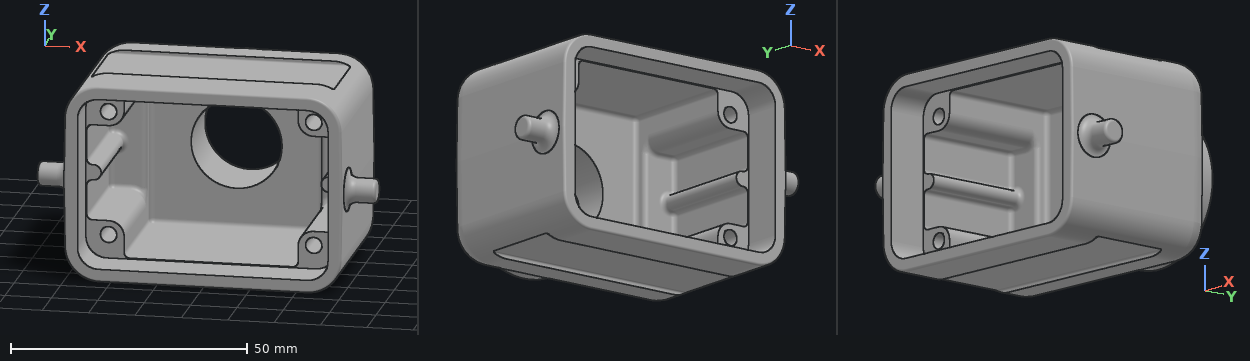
import cadquery as cq
import math


body_half_width = 30.1
body_half_height = 21.5
body_depth = 40.0
body_corner_radius = 7.45
side_draft_angle = 1.0
back_edge_radius = 5.1
rim_edge_radius = 0.6

neck_radius = 17.1
neck_end = 52.5
neck_end_fillet = 1.1
neck_root_fillet = 0.7
cable_hole_radius = 9.8

pin_radius = 2.6
pin_tip = 36.5
pin_y = 6.3
pin_tip_fillet = 0.7
pin_root_fillet = 2.05

label_half_width = 27.75
label_front = 10.7
label_back = 29.3
label_depth = 1.0
label_floor_fillet = 0.45

side_wall = 3.1
top_wall = 2.85
back_wall = 2.9
mouth_depth = 9.2
mouth_corner_radius = 4.5
main_pocket_half_width = 18.75
pocket_step = 0.2
pocket_fillet = 1.2
side_pocket_half_height = 10.45
side_pocket_rise = 2.9
post_corner_radius = 3.35

rib_radius = 1.7
rib_tip = 23.7

screw_x = 22.1
screw_z = 13.5
screw_mouth_radius = 1.75
screw_end_radius = 1.4
screw_depth = 10.95

mouth_half_width = body_half_width - side_wall
mouth_half_height = body_half_height - top_wall
main_floor = body_depth - back_wall
side_floor = main_floor - side_pocket_rise


def section(y):
    """Sketch plane along X and Z at depth y; negative extrusion goes towards +Y."""
    return cq.Workplane("XZ", origin=(0, y, 0))


def block(half_width, half_height, start, end):
    return section(start).rect(2 * half_width, 2 * half_height).extrude(start - end)


def make_body():
    draft = body_half_height * math.tan(math.radians(side_draft_angle))
    edge_half_width = body_half_width - draft
    outline = [
        (body_half_width, 0),
        (edge_half_width, body_half_height),
        (-edge_half_width, body_half_height),
        (-body_half_width, 0),
        (-edge_half_width, -body_half_height),
        (edge_half_width, -body_half_height),
    ]
    body = section(0).polyline(outline).close().extrude(-body_depth)
    long_corners = body.edges("|Y").edges(">Z or <Z")
    body = long_corners.fillet(body_corner_radius)
    body = body.faces(">Y").edges().fillet(back_edge_radius)
    return body.faces("<Y").edges().fillet(rim_edge_radius)


def add_neck(body):
    start = body_depth - back_edge_radius
    hood = body.union(section(start).circle(neck_radius).extrude(start - neck_end))
    neck_wall = hood.faces(
        cq.selectors.BoxSelector(
            (-neck_radius, body_depth + neck_root_fillet, -neck_radius),
            (neck_radius, neck_end - neck_end_fillet, neck_radius),
        )
    )
    hood = neck_wall.edges("not (|Y or >Y)").fillet(neck_root_fillet)
    return hood.faces(">Y").edges().fillet(neck_end_fillet)


def make_pin(side):
    root = body_half_width
    inner_end = root - side_wall / 2
    flare_radius = pin_radius + pin_root_fillet
    flare_end = root + pin_root_fillet
    bow = pin_root_fillet * (1 - math.sqrt(0.5))
    profile = (
        cq.Workplane("XY")
        .moveTo(inner_end, 0)
        .lineTo(inner_end, flare_radius)
        .lineTo(root, flare_radius)
        .threePointArc((root + bow, pin_radius + bow), (flare_end, pin_radius))
        .lineTo(pin_tip, pin_radius)
        .lineTo(pin_tip, 0)
        .close()
    )
    pin = profile.revolve(360, (0, 0, 0), (1, 0, 0))
    pin = pin.faces(">X").edges().fillet(pin_tip_fillet)
    if side < 0:
        pin = pin.mirror("YZ")
    return pin.translate((0, pin_y, 0))


def make_label_recess(side):
    length = label_back - label_front
    recess = cq.Workplane("XY").box(2 * label_half_width, length, 2 * label_depth)
    recess = recess.faces("<Z").edges().fillet(label_floor_fillet)
    if side < 0:
        recess = recess.mirror("XY")
    return recess.translate((0, (label_front + label_back) / 2, side * body_half_height))


def make_cavity():
    mouth = block(mouth_half_width, mouth_half_height, 0, mouth_depth)
    mouth = mouth.edges("|Y").fillet(mouth_corner_radius)
    pockets = make_side_pockets().union(make_main_pocket())

    step_reach = main_pocket_half_width + pocket_step
    step_edges = cq.selectors.BoxSelector(
        (-step_reach, side_floor - pocket_step, -pocket_step),
        (step_reach, side_floor + pocket_step, pocket_step),
    )
    pockets = pockets.edges("|Z").edges(step_edges).fillet(pocket_fillet)
    return mouth.union(pockets)


def make_main_pocket():
    main_half_height = mouth_half_height - pocket_step
    pocket = block(main_pocket_half_width, main_half_height, 0, main_floor)
    return pocket.edges("|Y or >Y").fillet(pocket_fillet)


def make_side_pockets():
    side_half_width = mouth_half_width - pocket_step
    pockets = block(side_half_width, side_pocket_half_height, mouth_depth, side_floor)
    waist_half_height = side_pocket_half_height + post_corner_radius + pocket_fillet
    pockets = pockets.union(block(main_pocket_half_width, waist_half_height, mouth_depth, side_floor))
    post_reach_x = main_pocket_half_width + pocket_step
    post_reach_z = side_pocket_half_height + pocket_step
    post_corners = cq.selectors.BoxSelector(
        (-post_reach_x, 0, -post_reach_z),
        (post_reach_x, body_depth, post_reach_z),
    )
    pockets = pockets.edges("|Y").edges(post_corners).fillet(post_corner_radius)
    for direction in (-1, 1):
        pockets = pockets.cut(make_rib(direction))
    pockets = pockets.edges("|Y").edges(">X or <X").fillet(pocket_fillet)
    return pockets.faces(">Y").edges().fillet(pocket_fillet)


def make_rib(side):
    arc_centre = rib_tip + rib_radius
    rib = (
        section(mouth_depth)
        .moveTo(side * mouth_half_width, -rib_radius)
        .lineTo(side * arc_centre, -rib_radius)
        .threePointArc((side * rib_tip, 0), (side * arc_centre, rib_radius))
        .lineTo(side * mouth_half_width, rib_radius)
        .close()
    )
    return rib.extrude(mouth_depth - body_depth)


def make_screw_holes():
    centres = [(x, z) for x in (-screw_x, screw_x) for z in (-screw_z, screw_z)]
    taper = math.degrees(math.atan2(screw_mouth_radius - screw_end_radius, screw_depth))
    holes = section(mouth_depth).pushPoints(centres).circle(screw_mouth_radius)
    return holes.extrude(-screw_depth, taper=taper)


hood = add_neck(make_body())
for direction in (-1, 1):
    hood = hood.union(make_pin(direction))
    hood = hood.cut(make_label_recess(direction))
hood = hood.cut(make_cavity())
hood = hood.cut(make_screw_holes())
cable_hole = section(0).circle(cable_hole_radius).extrude(-neck_end)
result = hood.cut(cable_hole)